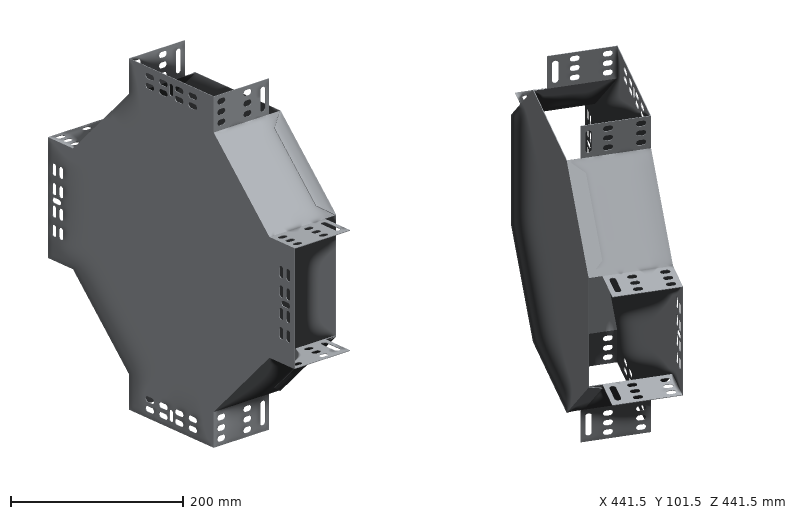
import cadquery as cq
import math


span = 441.5
depth = 101.5
sheet = 0.8
branch_width = 152.0
ear_length = 45.0
ear_height = 84.7

floor_slot_length = 15.0
floor_slot_width = 7.0
floor_row_insets = (11.5, 24.0)
floor_slot_offsets = (14.0, 38.5)
middle_slot_inset = 16.0

ear_slot_length = 12.0
ear_slot_width = 7.5
ear_slot_first_inset = 9.0
ear_slot_pitch = 13.2
ear_slot_columns = 3
ear_slot_heights = (12.0, 51.5)
long_slot_length = 31.0
long_slot_width = 8.0
long_slot_inset = 23.5
long_slot_height = 75.0

lip_drop = 20.0
lip_taper = 18.0

bend_angle = 45
half_span = span / 2
half_width = branch_width / 2
ear_root = half_span - ear_length
wall_top = depth - sheet
miter = sheet * math.tan(math.radians(bend_angle / 2))
wall_distance = (half_width + ear_root) / math.sqrt(2)
lip_half_length = (ear_root - half_width) / math.sqrt(2)
quarter_turns = [90 * i for i in range(4)]


def turned(shape, angle):
    """Rotate a shape about the Y axis of the cross."""
    return shape.rotate((0, 0, 0), (0, 1, 0), angle)


def prism(points, bottom, top):
    """Extrude an outline of (x, z) points from one Y level to another."""
    return cq.Workplane("XZ", origin=(0, bottom, 0)).polyline(points).close().extrude(bottom - top)


def make_floor():
    """Cross-shaped floor whose four branches are joined by diagonals."""
    w, r, h = half_width, ear_root, half_span
    outline = [
        (w, h), (w, r), (r, w), (h, w),
        (h, -w), (r, -w), (w, -r), (w, -h),
        (-w, -h), (-w, -r), (-r, -w), (-h, -w),
        (-h, w), (-r, w), (-w, r), (-w, h),
    ]
    return prism(outline, 0, sheet)


def floor_slots():
    """Cutters through the floor near the end of the +Z branch."""
    crosswise_centers = [
        (side * offset, half_span - inset)
        for inset in floor_row_insets
        for offset in floor_slot_offsets
        for side in (-1, 1)
    ]
    crosswise = (
        cq.Workplane("XZ")
        .pushPoints(crosswise_centers)
        .slot2D(floor_slot_length, floor_slot_width)
        .extrude(sheet, both=True)
    )
    lengthwise = (
        cq.Workplane("XZ")
        .center(0, half_span - middle_slot_inset)
        .slot2D(floor_slot_length, floor_slot_width, 90)
        .extrude(sheet, both=True)
    )
    return crosswise.union(lengthwise)


def diagonal_wall():
    """Wall between the +X and +Z branches, mitred to meet the ears."""
    w, r = half_width, ear_root
    outline = [(w, r), (r, w), (r - miter, w - sheet), (w - sheet, r - miter)]
    return prism(outline, 0, wall_top)


def ear_slots():
    """Cutters through both ears of the +Z branch."""
    small_centers = [
        (height, half_span - ear_slot_first_inset - column * ear_slot_pitch)
        for height in ear_slot_heights
        for column in range(ear_slot_columns)
    ]
    small_slots = (
        cq.Workplane("YZ")
        .pushPoints(small_centers)
        .slot2D(ear_slot_length, ear_slot_width)
        .extrude(branch_width, both=True)
    )
    long_slot = (
        cq.Workplane("YZ")
        .center(long_slot_height, half_span - long_slot_inset)
        .slot2D(long_slot_length, long_slot_width, 90)
        .extrude(branch_width, both=True)
    )
    return small_slots.union(long_slot)


def ear_pair():
    """Two upright slotted ears along the sides of the +Z branch."""
    inner, outer = half_width - sheet, half_width
    root = ear_root - miter
    outline = [(inner, root), (outer, root), (outer, half_span), (inner, half_span)]
    ear = prism(outline, 0, ear_height)
    return ear.union(ear.mirror("YZ")).cut(ear_slots())


def make_tray():
    """Floor, diagonal walls and ears folded from one sheet."""
    tray = make_floor()
    for angle in quarter_turns:
        tray = tray.union(turned(diagonal_wall(), angle))
        tray = tray.union(turned(ear_pair(), angle))
        tray = tray.cut(turned(floor_slots(), angle))
    return tray


def cover_lip():
    """Tapered lip lying on the outside of the wall between the +X and +Z branches."""
    lip_end = depth - lip_drop
    outline = [
        (-lip_half_length, wall_top),
        (lip_half_length, wall_top),
        (lip_half_length - lip_taper, lip_end),
        (-lip_half_length + lip_taper, lip_end),
    ]
    lip = cq.Workplane("XY", origin=(0, 0, wall_distance)).polyline(outline).close().extrude(sheet)
    return turned(lip, bend_angle)


def make_cover():
    """Octagonal plate on top of the walls, reaching one sheet thickness past them, with four lips."""
    w = half_width + sheet
    e = ear_root + miter
    outline = [(w, e), (e, w), (e, -w), (w, -e), (-w, -e), (-e, -w), (-e, w), (-w, e)]
    cover = prism(outline, wall_top, depth)
    for angle in quarter_turns:
        cover = cover.union(turned(cover_lip(), angle))
    return cover


tray = make_tray()
cover = make_cover()
result = cq.Compound.makeCompound([tray.solids().val(), cover.solids().val()])